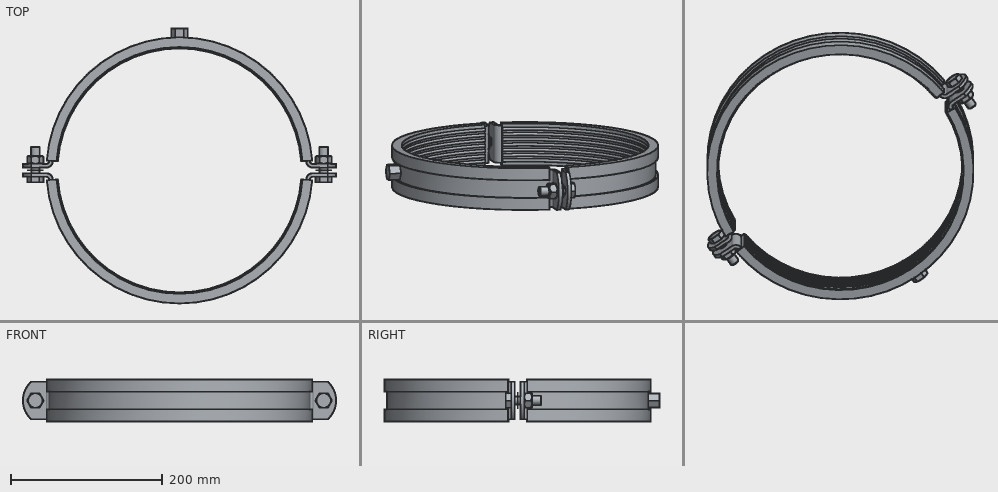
import cadquery as cq
import math

overall_width = 415.0
ring_height = 56.0
liner_outer_radius = 176.5
liner_inner_radius = 163.5
strap_outer_radius = 173.0
strap_thickness = 5.0
strap_width = 50.2
lip_height = 16.0
liner_end_angle = 4.2

rib_count = 7
rib_pitch = 7.0
rib_radius = 2.0

lug_half_gap = 3.53
lug_end_radius = 33.5
bend_inner_radius = 4.0

bolt_offset = 191.0
bolt_diameter = 12.0
bolt_neck_diameter = 11.0
bolt_tip_diameter = 10.0
bolt_tip_y = 31.5
hex_across_flats = 19.0
turning_diameter = 22.5
head_height = 7.5
head_chamfer_height = 0.62
nut_height = 10.8
nut_face_diameter = 18.3
washer_diameter = 20.0
washer_thickness = 0.2
boss_top_y = 188.0

strap_inner_radius = strap_outer_radius - strap_thickness
lug_outer_y = lug_half_gap + strap_thickness
bend_outer_radius = bend_inner_radius + strap_thickness
hex_across_corners = hex_across_flats / math.cos(math.radians(30))
head_turning_depth = (turning_diameter - hex_across_flats) / 2


def polar(radius, angle, center=(0, 0)):
    """Point at an angle in degrees on a circle around center."""
    turn = math.radians(angle)
    return (center[0] + radius * math.cos(turn), center[1] + radius * math.sin(turn))


def mirror_x(point):
    """Point mirrored to the other side of the YZ plane."""
    return (-point[0], point[1])


def make_strap():
    """Upper half strap: an arc bent outwards into a flat lug at each end."""
    bend_center_y = lug_half_gap + bend_outer_radius
    bend_center_radius = strap_outer_radius + bend_inner_radius
    end_angle = math.degrees(math.asin(bend_center_y / bend_center_radius))
    bend_center = polar(bend_center_radius, end_angle)
    bend_mid_angle = (180 + end_angle + 270) / 2

    lug_tip = overall_width / 2
    inner_bend_mid = polar(bend_inner_radius, bend_mid_angle, bend_center)
    outer_bend_mid = polar(bend_outer_radius, bend_mid_angle, bend_center)
    outer_end = polar(strap_outer_radius, end_angle)
    inner_end = polar(strap_inner_radius, end_angle)
    lug_outer_start = (bend_center[0], lug_outer_y)
    lug_inner_start = (bend_center[0], lug_half_gap)

    band = (
        cq.Workplane("XY")
        .moveTo(lug_tip, lug_outer_y)
        .lineTo(*lug_outer_start)
        .threePointArc(inner_bend_mid, outer_end)
        .threePointArc((0, strap_outer_radius), mirror_x(outer_end))
        .threePointArc(mirror_x(inner_bend_mid), mirror_x(lug_outer_start))
        .lineTo(-lug_tip, lug_outer_y)
        .lineTo(-lug_tip, lug_half_gap)
        .lineTo(*mirror_x(lug_inner_start))
        .threePointArc(mirror_x(outer_bend_mid), mirror_x(inner_end))
        .threePointArc((0, strap_inner_radius), inner_end)
        .threePointArc(outer_bend_mid, lug_inner_start)
        .lineTo(lug_tip, lug_half_gap)
        .close()
        .extrude(strap_width / 2, both=True)
    )

    half_width = strap_width / 2
    arc_center_x = lug_tip - lug_end_radius
    corner_x = arc_center_x + math.sqrt(lug_end_radius**2 - half_width**2)
    rounded_outline = (
        cq.Workplane("XZ")
        .moveTo(-corner_x, -half_width)
        .lineTo(corner_x, -half_width)
        .threePointArc((lug_tip, 0), (corner_x, half_width))
        .lineTo(-corner_x, half_width)
        .threePointArc((-lug_tip, 0), (-corner_x, -half_width))
        .close()
        .extrude(-liner_outer_radius)
    )
    return band.intersect(rounded_outline)


def make_liner():
    """Upper half liner: a channel around the strap with round ribs on its inner face."""
    half_height = ring_height / 2
    lip_edge = half_height - lip_height
    first_rib = -rib_pitch * (rib_count - 1) / 2

    profile = cq.Workplane("XZ").moveTo(liner_inner_radius, -half_height)
    for index in range(rib_count):
        rib_z = first_rib + index * rib_pitch
        profile = profile.lineTo(liner_inner_radius, rib_z - rib_radius).threePointArc(
            (liner_inner_radius - rib_radius, rib_z),
            (liner_inner_radius, rib_z + rib_radius),
        )
    profile = (
        profile.lineTo(liner_inner_radius, half_height)
        .lineTo(liner_outer_radius, half_height)
        .lineTo(liner_outer_radius, lip_edge)
        .lineTo(strap_outer_radius, lip_edge)
        .lineTo(strap_outer_radius, -lip_edge)
        .lineTo(liner_outer_radius, -lip_edge)
        .lineTo(liner_outer_radius, -half_height)
        .close()
    )
    sweep = 180 - 2 * liner_end_angle
    liner = profile.revolve(sweep, (0, 0, 0), (0, 1, 0))
    return liner.rotate((0, 0, 0), (0, 0, 1), liner_end_angle)


def rod(x, diameter, start_y, end_y):
    """Round bar along Y."""
    return cq.Workplane("XZ", origin=(x, start_y, 0)).circle(diameter / 2).extrude(start_y - end_y)


def hexagon(x, start_y, end_y):
    """Hexagonal bar along Y with two corners pointing along X."""
    bar = cq.Workplane("XZ", origin=(x, start_y, 0)).polygon(6, hex_across_corners)
    return bar.extrude(start_y - end_y)


def make_head(x):
    """Hexagonal bolt head with its outer corners turned down."""
    head_end_y = -lug_outer_y - head_height
    turned_envelope = (
        rod(x, turning_diameter, head_end_y, -lug_outer_y)
        .faces("<Y")
        .chamfer(head_chamfer_height, head_turning_depth)
    )
    return hexagon(x, head_end_y, -lug_outer_y).intersect(turned_envelope)


def make_nut(x):
    """Hexagonal nut with its corners turned down to a round face at both ends."""
    nut_top_y = lug_outer_y + nut_height
    turned_envelope = (
        rod(x, turning_diameter, lug_outer_y, nut_top_y)
        .edges("%CIRCLE")
        .chamfer((turning_diameter - nut_face_diameter) / 2)
    )
    return hexagon(x, lug_outer_y, nut_top_y).intersect(turned_envelope)


def make_bolt(x):
    """Bolt through a pair of lugs, with its head, nut and the thin washer between the lugs."""
    tip_chamfer = (bolt_diameter - bolt_tip_diameter) / 2
    neck = rod(x, bolt_neck_diameter, -lug_outer_y, lug_outer_y)
    thread = rod(x, bolt_diameter, lug_outer_y, bolt_tip_y).faces(">Y").chamfer(tip_chamfer)
    washer = rod(x, washer_diameter, -washer_thickness / 2, washer_thickness / 2)
    return neck.union(thread).union(washer).union(make_head(x)).union(make_nut(x))


half_clamp = make_liner().union(make_strap())
result = half_clamp.union(half_clamp.mirror("XZ"))
for side in (-1, 1):
    result = result.union(make_bolt(side * bolt_offset))

result = result.union(hexagon(0, strap_inner_radius, boss_top_y))